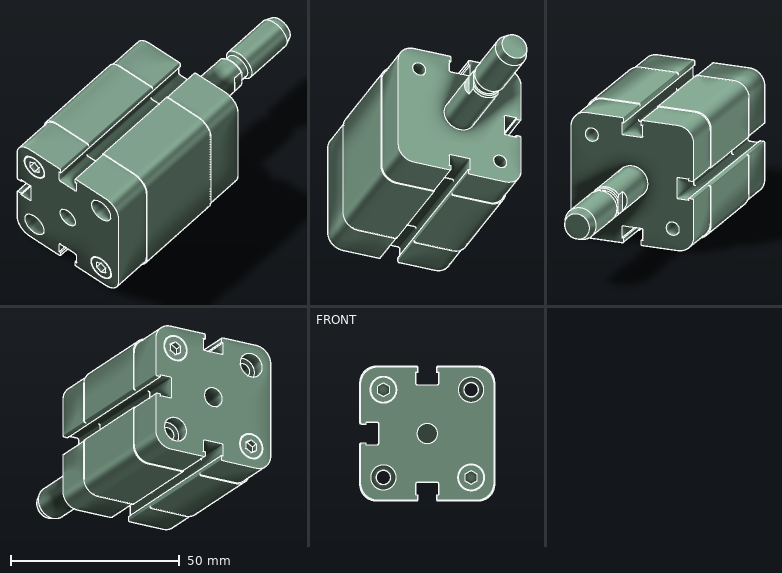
import cadquery as cq


barrel_width = 40.1
cap_width = 39.5
corner_radius = 5.0
cap_length = 12.7
barrel_length = 29.2
housing_length = barrel_length + 2 * cap_length

slot_opening = 5.5
slot_width = 6.7
barrel_slot_floor = 14.5
cap_slot_floor = 14.4
slot_lip_floor = 18.1
slot_lip_radius = 0.5
slot_floor_radius = 0.5
slot_angles = (0, 90, 180)

hole_offset = 13.0
through_hole_diameter = 4.2
counterbore_diameter = 7.5
counterbore_depth = 4.6
port_diameter = 6.0
port_depth = 11.6

screw_recess_diameter = 8.0
screw_head_diameter = 7.5
screw_recess_depth = 3.9
socket_across_corners = 4.1
socket_depth = 2.4
socket_turn = 30

total_length = 97.0
rod_length = total_length - housing_length
rod_diameter = 10.0
neck_diameter = 7.9
tip_diameter = 8.0
shoulder_position = 20.4
shoulder_chamfer = 0.5
neck_end = 23.0
thread_runout_length = 0.7
tip_taper_length = 2.7

flats_width = 8.0
flats_length = 3.5
flats_depth = (rod_diameter - flats_width) / 2


def plane_at(y):
    """XZ plane at the given Y, extruding toward +Y, with local x toward -X and local y toward +Z."""
    return cq.Workplane(cq.Plane(origin=(0, y, 0), xDir=(-1, 0, 0), normal=(0, 1, 0)))


def slot_cutter(section_width, slot_floor):
    """T-slot on the +Z side with rounded lips and floor corners, starting at Y = 0."""
    surface = section_width / 2
    half_opening = slot_opening / 2
    half_width = slot_width / 2
    lip_end = surface - slot_lip_radius
    floor_half = half_width - slot_floor_radius
    wall_start = slot_floor + slot_floor_radius
    rounded_half = half_opening + slot_lip_radius
    return (
        plane_at(0)
        .moveTo(-floor_half, slot_floor)
        .lineTo(floor_half, slot_floor)
        .radiusArc((half_width, wall_start), -slot_floor_radius)
        .lineTo(half_width, slot_lip_floor)
        .lineTo(half_opening, slot_lip_floor)
        .lineTo(half_opening, lip_end)
        .radiusArc((rounded_half, surface), slot_lip_radius)
        .lineTo(-rounded_half, surface)
        .radiusArc((-half_opening, lip_end), slot_lip_radius)
        .lineTo(-half_opening, slot_lip_floor)
        .lineTo(-half_width, slot_lip_floor)
        .lineTo(-half_width, wall_start)
        .radiusArc((-floor_half, slot_floor), -slot_floor_radius)
        .close()
        .extrude(housing_length)
    )


def housing_section(start, length, width, slot_floor):
    """Rounded square block with T-slots on three sides."""
    block = plane_at(start).rect(width, width).extrude(length).edges("|Y").fillet(corner_radius)
    cutter = slot_cutter(width, slot_floor).translate((0, start, 0))
    for angle in slot_angles:
        block = block.cut(cutter.rotate((0, 0, 0), (0, 1, 0), -angle))
    return block


def make_housing():
    front_cap = housing_section(0, cap_length, cap_width, cap_slot_floor)
    barrel = housing_section(cap_length, barrel_length, barrel_width, barrel_slot_floor)
    back_cap = housing_section(cap_length + barrel_length, cap_length, cap_width, cap_slot_floor)
    return front_cap.union(barrel).union(back_cap)


def cut_mounting_holes(body):
    """Counterbored through holes and the central blind port."""
    centers = [(-hole_offset, hole_offset), (hole_offset, -hole_offset)]
    front = plane_at(0)
    body = body.cut(front.pushPoints(centers).circle(through_hole_diameter / 2).extrude(housing_length))
    body = body.cut(front.pushPoints(centers).circle(counterbore_diameter / 2).extrude(counterbore_depth))
    return body.cut(front.circle(port_diameter / 2).extrude(port_depth))


def cut_screw_heads(body):
    """Ring gap around each screw head and its hexagon socket."""
    centers = [(hole_offset, hole_offset), (-hole_offset, -hole_offset)]
    gap = (
        plane_at(0)
        .pushPoints(centers)
        .circle(screw_recess_diameter / 2)
        .circle(screw_head_diameter / 2)
        .extrude(screw_recess_depth)
    )
    for local_x, z in centers:
        socket = plane_at(0).polygon(6, socket_across_corners).extrude(socket_depth)
        socket = socket.rotate((0, 0, 0), (0, 1, 0), socket_turn)
        body = body.cut(socket.translate((-local_x, 0, z)))
    return body.cut(gap)


def make_rod():
    rod_radius = rod_diameter / 2
    neck_radius = neck_diameter / 2
    rod = (
        cq.Workplane("XY")
        .lineTo(rod_radius, 0)
        .lineTo(rod_radius, shoulder_position - shoulder_chamfer)
        .lineTo(rod_radius - shoulder_chamfer, shoulder_position)
        .lineTo(neck_radius, shoulder_position)
        .lineTo(neck_radius, neck_end)
        .lineTo(rod_radius, neck_end + thread_runout_length)
        .lineTo(rod_radius, rod_length - tip_taper_length)
        .lineTo(tip_diameter / 2, rod_length)
        .lineTo(0, rod_length)
        .close()
        .revolve(360, (0, 0, 0), (0, 1, 0))
    )
    flats_start = shoulder_position - flats_length
    flat = (
        cq.Workplane("XY")
        .moveTo(flats_width / 2, shoulder_position)
        .lineTo(flats_width / 2, flats_start)
        .lineTo(rod_radius, flats_start - flats_depth)
        .lineTo(rod_radius, shoulder_position)
        .close()
        .extrude(rod_radius, both=True)
    )
    return rod.cut(flat).cut(flat.mirror("YZ")).translate((0, housing_length, 0))


housing = cut_screw_heads(cut_mounting_holes(make_housing()))
result = housing.union(make_rod())